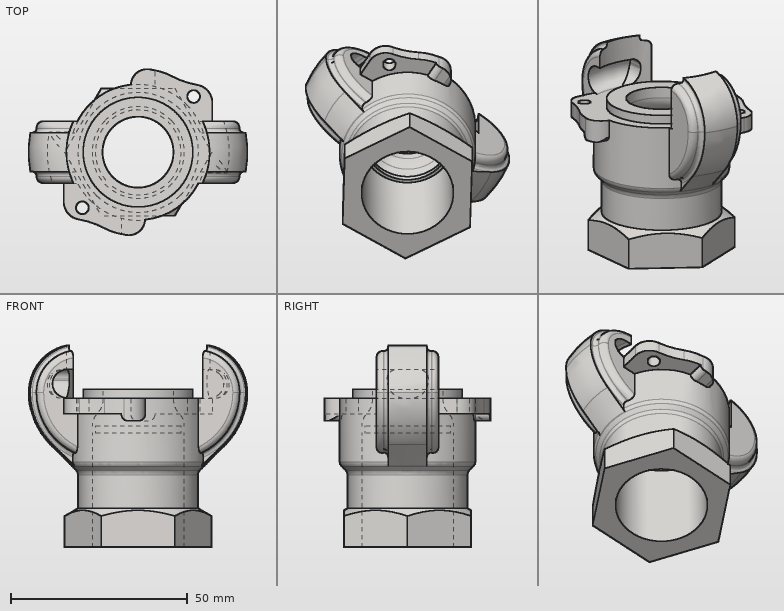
import cadquery as cq
import math


hex_flats = 36.0
hex_height = 10.95
hex_bevel_angle = 30

neck_radius = 34.0 / 2
neck_top = 21.15
neck_fillet = 1.8
body_radius = 38.45 / 2
body_edge_fillet = 1.8
flange_top = 42.1
seal_ring_radius = 31.0 / 2
seal_ring_top = 44.6

mouth_radius = 20.0 / 2
mouth_bottom = 41.6
flare_radius = 26 / 2
ledge_height = 34.2
land_radius = 24.15 / 2
land_bottom = 32.25
lower_bore_radius = 26 / 2

claw_middle_height = 43.7
claw_core = 13.9
throat_radius = 20.25
rib_reach = 30.95
rib_tip_radius = 13.6
rib_root_radius = 20.7
rib_root_angle = 45
rib_width = 11.0
plate_reach = 28.7
plate_tip_radius = 11.95
plate_root_radius = 19.0
plate_root_angle = 65
plate_width = 17.6
plate_round = 2.0
rib_side_fillet = 1.25

pocket_round_center = 21.65
pocket_top = 50.2
pocket_end_y = 5.8
pocket_end_bottom_round = 5.1
pocket_end_top_round = 2.6

ear_thickness = 4.45
ear_bottom = flange_top - ear_thickness
ear_corner_x = -15.85
ear_corner_y = -13.9
ear_corner_radius = 5.2
ear_hole_offset = 15.7
ear_hole_diameter = 3.5
flank_start = (-16.65, -19.05)
flank_hollow = (-13.2, -19.9)
flank_middle = (-9.6, -21.5)
flank_crest = (-6.8, -22.65)
flank_end = (-4.0, -23.3)
nose_x = -2.6
nose_radius = 4.65
nose_reach = 47.0 / 2

lug_width = 6.75
lug_drop = 2.0
lug_round = 1.9

overcut = 61.9


def both_sides(shape):
    """Return the shape joined with its copy turned half a turn about Z."""
    return shape.union(shape.rotate((0, 0, 0), (0, 0, 1), 180))


def cylinder(radius, bottom, top):
    return cq.Workplane("XY").workplane(offset=bottom).circle(radius).extrude(top - bottom)


def revolved(profile):
    """Revolve an outline of radius against height about the Z axis."""
    return profile.close().revolve(360, (0, 0, 0), (0, 1, 0))


def polar(center_x, center_y, radius, degrees):
    """Return the point of a circle at the given angle."""
    angle = math.radians(degrees)
    return center_x + radius * math.cos(angle), center_y + radius * math.sin(angle)


def hex_nut():
    corner_radius = hex_flats / math.sqrt(3)
    bevel_drop = (corner_radius - neck_radius) * math.tan(math.radians(hex_bevel_angle))
    beveled_blank = revolved(
        cq.Workplane("XZ")
        .lineTo(corner_radius, 0)
        .lineTo(corner_radius, hex_height - bevel_drop)
        .lineTo(neck_radius, hex_height)
        .lineTo(0, hex_height)
    )
    return cq.Workplane("XY").polygon(6, 2 * corner_radius).extrude(hex_height).intersect(beveled_blank)


def edge_at_height(height):
    """Select the level edges at the given height."""
    margin = 0.05
    low = (-overcut, -overcut, height - margin)
    high = (overcut, overcut, height + margin)
    return cq.selectors.BoxSelector(low, high, boundingbox=True)


def turned_body():
    cone_top = neck_top + body_radius - neck_radius
    body = revolved(
        cq.Workplane("XZ")
        .lineTo(neck_radius, 0)
        .lineTo(neck_radius, neck_top)
        .lineTo(body_radius, cone_top)
        .lineTo(body_radius, flange_top)
        .lineTo(0, flange_top)
    )
    body = body.edges(edge_at_height(cone_top)).fillet(body_edge_fillet)
    body = body.edges(edge_at_height(neck_top)).fillet(neck_fillet)
    return body.union(cylinder(seal_ring_radius, flange_top, seal_ring_top))


def claw_edge(reach, tip_radius, root_radius, root_angle):
    """Outer edge of a claw seen from the side: tip arc, root arc, then a tangent line into the body."""
    tip_x = reach - tip_radius
    root_x = reach - root_radius
    root_end = polar(root_x, claw_middle_height, root_radius, -root_angle)
    core_end_height = root_end[1] - (root_end[0] - claw_core) / math.tan(math.radians(root_angle))
    return (
        cq.Workplane("XZ")
        .moveTo(tip_x, claw_middle_height + tip_radius)
        .threePointArc(polar(tip_x, claw_middle_height, tip_radius, 45), (reach, claw_middle_height))
        .threePointArc(polar(root_x, claw_middle_height, root_radius, -root_angle / 2), root_end)
        .lineTo(claw_core, core_end_height)
    )


def plate_edge(growth=0):
    """Outer edge of the claw plate, moved outward by the growth."""
    return claw_edge(
        plate_reach + growth, plate_tip_radius + growth, plate_root_radius + growth, plate_root_angle
    )


def claw_plate(width, growth=0):
    """Plate centered on Y = 0, with its outer edge moved outward by the growth."""
    top = claw_middle_height + plate_tip_radius + growth
    return plate_edge(growth).lineTo(claw_core, top).close().extrude(width / 2, both=True)


def rib_side_hollow():
    """Round bar along the +Y side of the rib that hollows the step down to the plate."""
    start = (
        plate_reach - plate_tip_radius,
        rib_width / 2 + rib_side_fillet,
        claw_middle_height + plate_tip_radius + rib_side_fillet,
    )
    path = plate_edge(rib_side_fillet).translate((0, start[1], 0))
    return cq.Workplane("YZ", origin=start).circle(rib_side_fillet).sweep(path)


def claws():
    plate = claw_plate(plate_width).faces("<Y or >Y").edges().fillet(plate_round)
    hollow = rib_side_hollow()
    collar = claw_plate(rib_width + 2 * rib_side_fillet, rib_side_fillet)
    collar = collar.cut(hollow).cut(hollow.mirror("XZ"))

    rib = claw_edge(rib_reach, rib_tip_radius, rib_root_radius, rib_root_angle)
    rib = revolved(rib.lineTo(claw_core, claw_middle_height + rib_tip_radius))
    outer_side = cq.Workplane("XY").box(overcut, rib_width, 2 * overcut).translate((overcut / 2, 0, 0))
    rib = rib.intersect(outer_side)
    throat = cylinder(throat_radius, flange_top, overcut)
    return both_sides(plate.union(collar).union(rib)).cut(throat)


def ear_blank(bottom):
    """Plan outline of one ear, from the given height up to the flange top."""
    side_x = ear_corner_x - ear_corner_radius
    nose_y = nose_radius - nose_reach
    return (
        cq.Workplane("XY").workplane(offset=bottom)
        .lineTo(side_x, 0)
        .lineTo(side_x, ear_corner_y)
        .threePointArc(polar(ear_corner_x, ear_corner_y, ear_corner_radius, 225), flank_start)
        .threePointArc(flank_hollow, flank_middle)
        .threePointArc(flank_crest, flank_end)
        .threePointArc(polar(nose_x, nose_y, nose_radius, -45), (nose_x + nose_radius, nose_y))
        .close()
        .extrude(flange_top - bottom)
    )


def ear():
    lug_bottom = ear_bottom - lug_drop
    lug = (
        cq.Workplane("XY")
        .box(lug_width, overcut, flange_top - lug_bottom, centered=False)
        .translate((nose_x + nose_radius - lug_width, -overcut, lug_bottom))
        .edges("|Y and <Z")
        .fillet(lug_round)
        .intersect(ear_blank(lug_bottom))
    )
    hole = cylinder(ear_hole_diameter / 2, lug_bottom, seal_ring_top)
    hole = hole.translate((-ear_hole_offset, -ear_hole_offset, 0))
    return ear_blank(ear_bottom).union(lug).cut(hole)


def pocket():
    """Slot curved about Z, open toward the axis, its end wall rounded at the bottom and the top."""
    round_radius = (pocket_top - flange_top) / 2
    center_height = flange_top + round_radius
    slot = revolved(
        cq.Workplane("XZ")
        .moveTo(0, flange_top)
        .lineTo(pocket_round_center, flange_top)
        .threePointArc((pocket_round_center + round_radius, center_height), (pocket_round_center, pocket_top))
        .lineTo(0, pocket_top)
    )
    end_limit = (
        cq.Workplane("XY")
        .box(overcut, overcut, pocket_top - flange_top)
        .edges("|X and >Y and <Z")
        .fillet(pocket_end_bottom_round)
        .edges("|X and >Y and >Z")
        .fillet(pocket_end_top_round)
        .translate((-overcut / 2, pocket_end_y - overcut / 2, center_height))
    )
    return slot.intersect(end_limit)


def bore():
    flare_middle = ((mouth_radius + flare_radius) / 2, (mouth_bottom + ledge_height) / 2)
    return revolved(
        cq.Workplane("XZ")
        .moveTo(0, seal_ring_top)
        .lineTo(mouth_radius, seal_ring_top)
        .lineTo(mouth_radius, mouth_bottom)
        .tangentArcPoint(flare_middle, relative=False)
        .tangentArcPoint((flare_radius, ledge_height), relative=False)
        .lineTo(land_radius, ledge_height)
        .lineTo(land_radius, land_bottom)
        .lineTo(lower_bore_radius, land_bottom)
        .lineTo(lower_bore_radius, 0)
        .lineTo(0, 0)
    )


result = (
    claws()
    .cut(both_sides(pocket()))
    .union(turned_body())
    .union(hex_nut())
    .union(both_sides(ear()))
    .cut(bore())
)